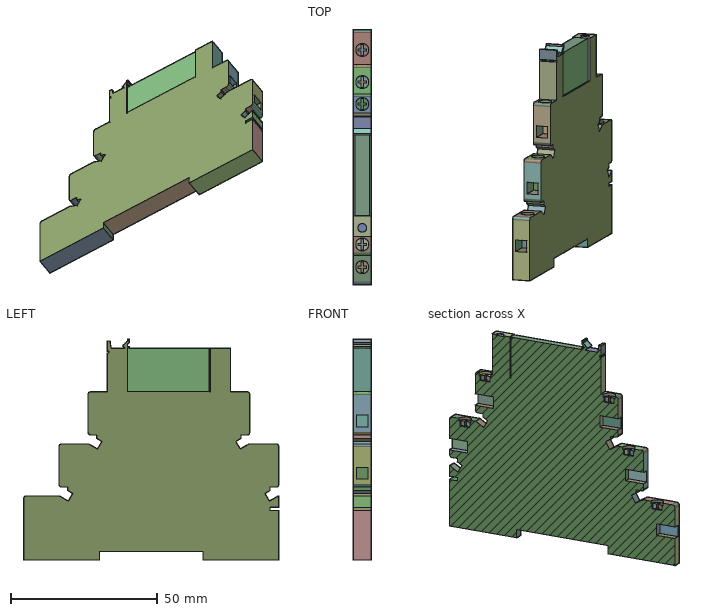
import cadquery as cq


thickness = 6.2
length = 87.3
overall_height = 75.6
tier_axis = -6.0

tier_pitch = 17.8
tier_gap = 3.0
tier_step = 9.95
corner_radius = 1.0
base_top = 22.0
tier_height = tier_pitch - tier_gap
middle_half = length / 2 + tier_axis
upper_half = middle_half - tier_step
middle_top = base_top + tier_pitch
upper_top = middle_top + tier_pitch
neck_inset = 3.0

notch_profile = [(0.3, 0), (3.2, -1.75), (4.7, 0.8), (neck_inset, 1.8)]

rail_width = 35.3
rail_depth = 3.0
slot_bottom = 17.0
slot_height = 1.05
slot_depth = 3.0

tower_half = 21.1
tower_top = 72.55
tower_rear = tier_axis + tower_half
relay_rear = 8.1
relay_front = -19.9
relay_gap = 0.3
relay_recess = 0.57

tab_top = 75.0
tab_top_width = 1.05
tab_bottom_width = 1.4
groove_bottom = 70.9
groove_height = 0.5
groove_depth = 0.5

clip_profile = [
    (9.1, tower_top),
    (9.9, 73.3),
    (8.1, 75.0),
    (8.1, overall_height),
    (7.5, overall_height),
    (7.5, 74.5),
    (8.1, 73.8),
    (8.1, 73.1),
    (7.5, 73.1),
    (7.5, tower_top),
]

screw_diameter = 4.45
screw_recess = 1.0
cross_length = 3.7
cross_span = 3.0
cross_width = 0.8
cross_depth = 1.75
rear_screws = [(36.7, base_top), (25.7, middle_top), (18.2, upper_top)]
front_screws = [(-29.9, upper_top), (-37.6, middle_top)]
entry_size = 4.0
entry_drop = 10.0
entry_depth = 7.0

light_diameter = 3.0
light_depth = 0.3
light_y = -24.2


def block(y_min, y_max, z_min, z_max, width=thickness):
    """Box centred on X between the given Y and Z limits."""
    size_y = y_max - y_min
    size_z = z_max - z_min
    centre = (0, y_min + size_y / 2, z_min + size_z / 2)
    return cq.Workplane("XY").box(width, size_y, size_z).translate(centre)


def plate(points):
    """Full-thickness prism over a (Y, Z) outline."""
    return cq.Workplane("YZ").polyline(points).close().extrude(thickness / 2, both=True)


def centred_block(half, z_min, z_max):
    """Full-thickness block, symmetric about the tier axis."""
    return block(tier_axis - half, tier_axis + half, z_min, z_max)


def tier(half, top):
    """Rounded tier, with a neck that overlaps it and the tier below to join them."""
    rounded = centred_block(half, top - tier_height, top).edges("|X").fillet(corner_radius)
    neck = centred_block(half - neck_inset, top - tier_pitch - corner_radius, top - corner_radius)
    return rounded.union(neck)


def notch_pair(half, lower_top):
    """Mirrored notches at the front and rear ends of one tier gap."""
    front = plate([(tier_axis - half + inset, lower_top + rise) for inset, rise in notch_profile])
    rear = plate([(tier_axis + half - inset, lower_top + rise) for inset, rise in notch_profile])
    return front.union(rear)


def screw(y, top):
    """Cutter for a sunken screw head with a deeper cross slot in it."""
    head = cq.Workplane("XY").circle(screw_diameter / 2).extrude(-screw_recess)
    cross_bottom = screw_recess + cross_depth
    slot_along_y = cq.Workplane("XY").rect(cross_width, cross_length).extrude(-cross_bottom)
    slot_along_x = cq.Workplane("XY").rect(cross_span, cross_width).extrude(-cross_bottom)
    return head.union(slot_along_y).union(slot_along_x).translate((0, y, top))


def entry(outer_y, inner_y, top):
    """Square wire entry cutter below a tier top."""
    centre_z = top - entry_drop
    y_min, y_max = sorted((outer_y, inner_y))
    return block(y_min, y_max, centre_z - entry_size / 2, centre_z + entry_size / 2, entry_size)


base = block(-length / 2, length / 2, 0, base_top).edges("|X and >Y and >Z").fillet(corner_radius)
body = base.union(tier(middle_half, middle_top)).union(tier(upper_half, upper_top))
body = body.cut(notch_pair(middle_half, base_top)).cut(notch_pair(upper_half, middle_top))
body = body.cut(block(-rail_width / 2, rail_width / 2, 0, rail_depth))
body = body.cut(block(-length / 2, -length / 2 + slot_depth, slot_bottom, slot_bottom + slot_height))

body = body.union(centred_block(tower_half, upper_top - corner_radius, tower_top))
body = body.cut(block(relay_front - relay_gap, relay_rear, upper_top, tower_top))
relay = block(relay_front, relay_rear, upper_top, tower_top, thickness - 2 * relay_recess)
body = body.union(relay)

tab = plate(
    [
        (tower_rear, tower_top),
        (tower_rear, tab_top),
        (tower_rear - tab_top_width, tab_top),
        (tower_rear - tab_bottom_width, tower_top),
    ]
)
body = body.union(tab).union(plate(clip_profile))
body = body.cut(block(tower_rear - groove_depth, tower_rear, groove_bottom, groove_bottom + groove_height))

for screw_y, screw_top in rear_screws + front_screws:
    body = body.cut(screw(screw_y, screw_top))
for half, top in ((middle_half, middle_top), (upper_half, upper_top)):
    for side in (-1, 1):
        outer = tier_axis + side * half
        body = body.cut(entry(outer, outer - side * entry_depth, top))
body = body.cut(entry(length / 2, length / 2 - entry_depth, base_top))

light = cq.Workplane("XY").circle(light_diameter / 2).extrude(-light_depth)
body = body.cut(light.translate((0, light_y, tower_top)))

result = body